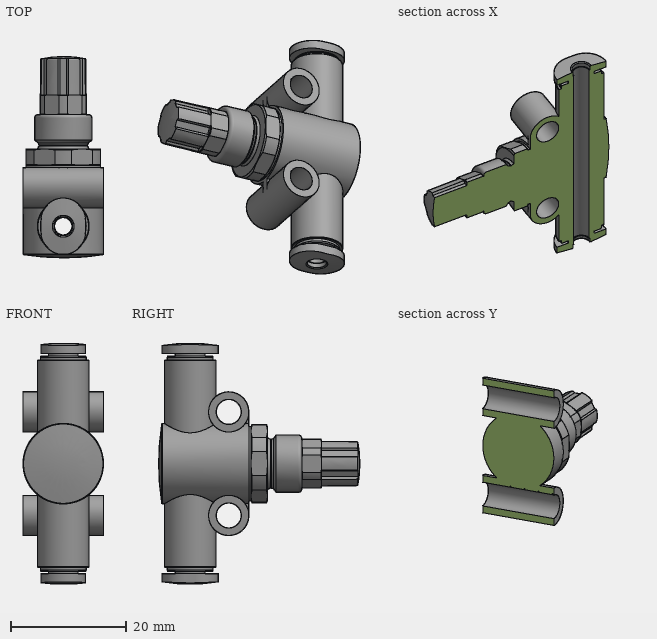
import cadquery as cq
import math


hexagon_sides = 6

body_radius = 7.0
body_front_y = -4.95
body_back_y = 10.2
body_edge_chamfer = 0.1
front_dome_height = 0.55

sleeve_diameter = 7.0
sleeve_bore_diameter = 4.3
sleeve_length = 14.0
sleeve_z = 9.0
sleeve_y = body_back_y - sleeve_diameter / 2
web_thickness = 1.5

port_radius = 4.5
port_end_z = 18.0
port_edge_chamfer = 0.1
collet_radius = 4.0
collet_end_z = 18.7
collet_chamfer_height = 0.25
collet_chamfer_width = 0.1
stem_radius = 2.6
button_bottom_z = 19.1
button_top_z = 20.96
button_dome_height = 0.42
button_length = 9.8
button_width = 7.75
bore_diameter = 3.0
bore_mouth_diameter = 3.3
bore_mouth_depth = 1.0
bore_chamfer_width = 0.35
bore_chamfer_height = 0.2

ring_radius = 6.5
nut_start_y = 10.55
nut_end_y = 13.45
nut_across_flats = 13.0
nut_corner_radius = 6.83
nut_chamfer_width = 0.4
nut_chamfer_height = 0.2

neck_nut_radius = 4.5
neck_collar_radius = 4.4
neck_waist_radius = 4.25
neck_waist_start_y = 13.95
neck_waist_end_y = 14.1
neck_end_y = 14.5
collar_radius = 5.0
collar_start_y = 14.95
collar_end_y = 19.4
collar_fillet = 0.6

hex_end_y = 22.8
hex_across_flats = 8.0
hex_corner_radius = 4.27
hex_chamfer_width = 0.15
hex_chamfer_height = 0.1
grip_base_radius = 4.0
grip_tip_radius = 3.95
grip_tip_chamfer_width = 0.06
grip_tip_chamfer_height = 0.25
grip_rim_y = 29.1
knob_tip_y = 29.5
slot_count = hexagon_sides
slot_floor_radius = 3.5
slot_floor_width = 1.2
slot_shoulder_radius = 3.75
slot_shoulder_width = 1.65
slot_mouth_width = 2.1


def disc(radius, start_y, end_y):
    """Cylinder about Y."""
    return cq.Workplane("XZ", origin=(0, start_y, 0)).circle(radius).extrude(start_y - end_y)


def revolve_about_y(profile):
    """Turn a closed (radius, y) profile about Y."""
    return profile.close().revolve(360, (0, 0, 0), (0, 1, 0))


def dome_radius(rim_radius, height):
    """Radius of the sphere whose cap has this rim radius and height."""
    return (rim_radius**2 + height**2) / (2 * height)


def cap_midpoint(rim_radius, height):
    """Radius and height above the rim of the point half-way out on a spherical cap."""
    sphere = dome_radius(rim_radius, height)
    mid_radius = rim_radius / 2
    return mid_radius, math.sqrt(sphere**2 - mid_radius**2) - (sphere - height)


def rounded_hexagon(across_flats, corner_radius, start_y, end_y, chamfer_width, chamfer_height):
    """Hexagon with flats facing +X and -X, its corners turned down and chamfered at both ends."""
    hexagon = (
        cq.Workplane("XZ", origin=(0, start_y, 0))
        .transformed(rotate=(0, 0, 90))
        .polygon(hexagon_sides, across_flats / math.cos(math.pi / hexagon_sides))
        .extrude(start_y - end_y)
    )
    turned = revolve_about_y(
        cq.Workplane("XY")
        .moveTo(0, start_y)
        .lineTo(corner_radius - chamfer_width, start_y)
        .lineTo(corner_radius, start_y + chamfer_height)
        .lineTo(corner_radius, end_y - chamfer_height)
        .lineTo(corner_radius - chamfer_width, end_y)
        .lineTo(0, end_y)
    )
    return hexagon.intersect(turned)


def make_body():
    """Turned body with a shallow spherical front face."""
    rim_radius = body_radius - body_edge_chamfer
    mid_radius, mid_height = cap_midpoint(rim_radius, front_dome_height)
    return revolve_about_y(
        cq.Workplane("XY")
        .moveTo(0, body_back_y)
        .lineTo(body_radius, body_back_y)
        .lineTo(body_radius, body_front_y + body_edge_chamfer)
        .lineTo(rim_radius, body_front_y)
        .threePointArc((mid_radius, body_front_y - mid_height), (0, body_front_y - front_dome_height))
    )


def make_sleeve():
    """Upper mounting sleeve with the thin web that joins it to the body."""
    sleeve = (
        cq.Workplane("YZ", origin=(-sleeve_length / 2, 0, 0))
        .center(sleeve_y, sleeve_z)
        .circle(sleeve_diameter / 2)
        .extrude(sleeve_length)
    )
    web = cq.Workplane("XY").box(
        web_thickness, body_back_y - sleeve_y, sleeve_z, centered=(True, False, False)
    )
    return sleeve.union(web.translate((0, sleeve_y, 0)))


def make_sleeve_bore():
    return (
        cq.Workplane("YZ", origin=(-sleeve_length / 2, 0, 0))
        .center(sleeve_y, sleeve_z)
        .circle(sleeve_bore_diameter / 2)
        .extrude(sleeve_length)
    )


def make_port():
    """Upper tube port: barrel, collet, stem and domed oblong release button."""
    barrel = (
        cq.Workplane("XZ")
        .lineTo(port_radius, 0)
        .lineTo(port_radius, port_end_z - port_edge_chamfer)
        .lineTo(port_radius - port_edge_chamfer, port_end_z)
        .lineTo(collet_radius, port_end_z)
        .lineTo(collet_radius, collet_end_z - collet_chamfer_height)
        .lineTo(collet_radius - collet_chamfer_width, collet_end_z)
        .lineTo(stem_radius, collet_end_z)
        .lineTo(stem_radius, button_bottom_z)
        .lineTo(0, button_bottom_z)
        .close()
        .revolve(360, (0, 0, 0), (0, 1, 0))
    )
    button = (
        cq.Workplane("XY", origin=(0, 0, button_bottom_z))
        .slot2D(button_length, button_width, 90)
        .extrude(button_top_z - button_bottom_z)
    )
    sphere = dome_radius(button_length / 2, button_dome_height)
    dome = cq.Workplane("XY").sphere(sphere).translate((0, 0, button_top_z - sphere))
    return barrel.union(button.intersect(dome))


def make_port_bore():
    """Through bore of the upper port, with a wider chamfered mouth in the button."""
    bore_radius = bore_diameter / 2
    mouth_radius = bore_mouth_diameter / 2
    return (
        cq.Workplane("XZ")
        .lineTo(bore_radius, 0)
        .lineTo(bore_radius, button_top_z - bore_mouth_depth)
        .lineTo(mouth_radius, button_top_z - bore_mouth_depth)
        .lineTo(mouth_radius, button_top_z - bore_chamfer_height)
        .lineTo(mouth_radius + bore_chamfer_width, button_top_z)
        .lineTo(0, button_top_z)
        .close()
        .revolve(360, (0, 0, 0), (0, 1, 0))
    )


def make_nut():
    nut = rounded_hexagon(
        nut_across_flats, nut_corner_radius, nut_start_y, nut_end_y, nut_chamfer_width, nut_chamfer_height
    )
    return nut.union(disc(ring_radius, body_back_y, nut_start_y))


def make_collar():
    """Collar rounded at the knob end, with a hollow neck down to the nut."""
    fillet_inset = collar_fillet * (1 - math.sqrt(0.5))
    return revolve_about_y(
        cq.Workplane("XY")
        .moveTo(0, nut_end_y)
        .lineTo(neck_nut_radius, nut_end_y)
        .lineTo(neck_waist_radius, neck_waist_start_y)
        .lineTo(neck_waist_radius, neck_waist_end_y)
        .lineTo(neck_collar_radius, neck_end_y)
        .lineTo(collar_radius, collar_start_y)
        .lineTo(collar_radius, collar_end_y - collar_fillet)
        .threePointArc(
            (collar_radius - fillet_inset, collar_end_y - fillet_inset),
            (collar_radius - collar_fillet, collar_end_y),
        )
        .lineTo(0, collar_end_y)
    )


def make_grip_slot():
    """Cutter for one lengthwise slot on the +Z side, flaring outwards in two steps from a flat floor."""
    flare = (slot_mouth_width - slot_shoulder_width) / 2 / (grip_base_radius - slot_shoulder_radius)
    cutter_top = grip_base_radius + slot_floor_radius
    floor_half = slot_floor_width / 2
    shoulder_half = slot_shoulder_width / 2
    top_half = shoulder_half + flare * (cutter_top - slot_shoulder_radius)
    return (
        cq.Workplane("XZ", origin=(0, hex_end_y, 0))
        .moveTo(-floor_half, slot_floor_radius)
        .lineTo(floor_half, slot_floor_radius)
        .lineTo(shoulder_half, slot_shoulder_radius)
        .lineTo(top_half, cutter_top)
        .lineTo(-top_half, cutter_top)
        .lineTo(-shoulder_half, slot_shoulder_radius)
        .close()
        .extrude(hex_end_y - knob_tip_y)
    )


def make_knob():
    """Hexagonal base and tapered grip with a domed end and slots in line with the hexagon corners."""
    dome_height = knob_tip_y - grip_rim_y
    rim_radius = grip_tip_radius - grip_tip_chamfer_width
    mid_radius, mid_height = cap_midpoint(rim_radius, dome_height)
    grip = revolve_about_y(
        cq.Workplane("XY")
        .moveTo(0, hex_end_y)
        .lineTo(grip_base_radius, hex_end_y)
        .lineTo(grip_tip_radius, grip_rim_y - grip_tip_chamfer_height)
        .lineTo(rim_radius, grip_rim_y)
        .threePointArc((mid_radius, grip_rim_y + mid_height), (0, knob_tip_y))
    )
    slot = make_grip_slot()
    for index in range(slot_count):
        grip = grip.cut(slot.rotate((0, 0, 0), (0, 1, 0), index * 360 / slot_count))
    base = rounded_hexagon(
        hex_across_flats, hex_corner_radius, collar_end_y, hex_end_y, hex_chamfer_width, hex_chamfer_height
    )
    return base.union(grip)


result = make_body().union(make_nut()).union(make_collar()).union(make_knob())
for feature in (make_sleeve(), make_port()):
    result = result.union(feature).union(feature.mirror("XY"))
for bore in (make_sleeve_bore(), make_port_bore()):
    result = result.cut(bore).cut(bore.mirror("XY"))